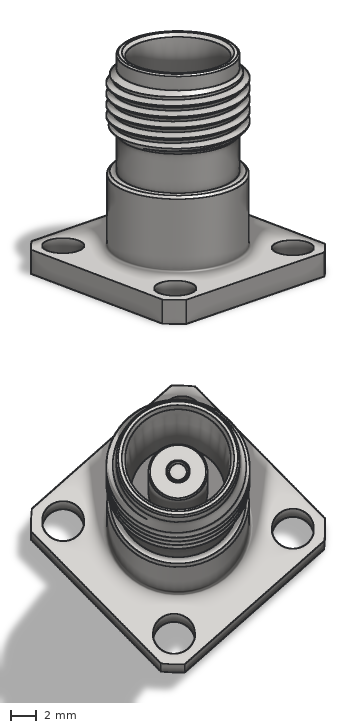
import cadquery as cq
import math

flange_side = 17.53
flange_thickness = 2.03
flange_corner_diameter = 23.0
mounting_hole_diameter = 3.3
mounting_hole_spacing = 12.7

total_height = 18.3
body_diameter = 11.1
body_top = 8.38
body_chamfer = 0.22
body_base_fillet = 0.3
neck_diameter = 9.65
rim_chamfer = 0.15

thread_bottom = 11.65
thread_top = 16.98
thread_root_diameter = 10.21
thread_crest_diameter = 11.24
five_turn_rise = 4.54
thread_pitch = five_turn_rise / 5
thread_half_angle = 30.0
thread_crest_width = 0.07
thread_crest_height = 12.46
end_clearance = 0.18
thread_embed = 0.1

mouth_diameter = 8.78
bore_mouth_diameter = 8.27
bore_floor_diameter = 7.4
mouth_depth = 0.3
bore_depth = 8.3

insulator_diameter = 4.63
insulator_top = 15.05
insulator_chamfer = 0.13

contact_diameter = 1.85
contact_rise = 0.07
recess_mouth_diameter = 1.65
recess_floor_diameter = 1.35
recess_depth = 0.15


def cylinder(diameter, bottom, top):
    return cq.Workplane("XY").workplane(offset=bottom).circle(diameter / 2).extrude(top - bottom)


def revolved(points):
    """Revolve a closed (radius, height) outline about the Z axis."""
    return cq.Workplane("XZ").polyline(points).close().revolve(360, (0, 0), (0, 1))


def make_flange():
    plate = cq.Workplane("XY").rect(flange_side, flange_side).extrude(flange_thickness)
    plate = plate.intersect(cylinder(flange_corner_diameter, 0, flange_thickness))
    return (
        plate.faces(">Z").workplane(origin=(0, 0, flange_thickness))
        .rect(mounting_hole_spacing, mounting_hole_spacing, forConstruction=True)
        .vertices().hole(mounting_hole_diameter)
    )


def make_base_fillet():
    """Concave ring blending the body into the flange."""
    body_radius = body_diameter / 2
    outer_radius = body_radius + body_base_fillet
    fillet_top = flange_thickness + body_base_fillet
    arc_offset = body_base_fillet * (1 - math.sqrt(0.5))
    return (
        cq.Workplane("XZ")
        .moveTo(0, flange_thickness)
        .lineTo(outer_radius, flange_thickness)
        .threePointArc((body_radius + arc_offset, flange_thickness + arc_offset), (body_radius, fillet_top))
        .lineTo(0, fillet_top)
        .close()
        .revolve(360, (0, 0), (0, 1))
    )


def make_barrel():
    body = cylinder(body_diameter, 0, body_top).faces(">Z").chamfer(body_chamfer)
    neck = cylinder(neck_diameter, 0, total_height).faces(">Z").chamfer(rim_chamfer)
    return body.union(neck).union(make_base_fillet())


def make_thread():
    """Helical ridge on a root cylinder, with both ends trimmed at 45 degrees."""
    neck_radius = neck_diameter / 2
    crest_radius = thread_crest_diameter / 2
    base_radius = thread_root_diameter / 2 - thread_embed
    half_crest = thread_crest_width / 2
    half_base = half_crest + (crest_radius - base_radius) * math.tan(math.radians(thread_half_angle))

    turns_below = math.ceil((thread_crest_height - thread_bottom) / thread_pitch) + 1
    start_height = thread_crest_height - turns_below * thread_pitch
    turns = math.ceil((thread_top - start_height) / thread_pitch) + 1
    helix = cq.Wire.makeHelix(thread_pitch, turns * thread_pitch, base_radius).moved(
        cq.Location(cq.Vector(0, 0, start_height))
    )
    ridge = (
        cq.Workplane("XZ")
        .polyline([
            (base_radius, start_height - half_base),
            (crest_radius, start_height - half_crest),
            (crest_radius, start_height + half_crest),
            (base_radius, start_height + half_base),
        ])
        .close()
        .sweep(cq.Workplane(obj=helix), isFrenet=True)
    )

    end_slope = crest_radius - neck_radius + end_clearance
    envelope = revolved([
        (0, thread_bottom),
        (neck_radius, thread_bottom),
        (neck_radius + end_slope, thread_bottom + end_slope),
        (neck_radius + end_slope, thread_top - end_slope),
        (neck_radius, thread_top),
        (0, thread_top),
    ])
    ridge_top = start_height + turns * thread_pitch
    root = cylinder(thread_root_diameter, start_height - thread_pitch, ridge_top + thread_pitch)
    return root.union(ridge).intersect(envelope)


def make_socket():
    floor = total_height - bore_depth
    return revolved([
        (0, total_height),
        (mouth_diameter / 2, total_height),
        (bore_mouth_diameter / 2, total_height - mouth_depth),
        (bore_floor_diameter / 2, floor),
        (0, floor),
    ])


def make_insulator():
    """Insulator and centre contact as one turned shape."""
    radius = insulator_diameter / 2
    floor = total_height - bore_depth
    contact_top = insulator_top + contact_rise
    return revolved([
        (0, floor),
        (radius, floor),
        (radius, insulator_top - insulator_chamfer),
        (radius - insulator_chamfer, insulator_top),
        (contact_diameter / 2, insulator_top),
        (contact_diameter / 2, contact_top),
        (recess_mouth_diameter / 2, contact_top),
        (recess_floor_diameter / 2, contact_top - recess_depth),
        (0, contact_top - recess_depth),
    ])


shell = make_flange().union(make_barrel()).union(make_thread()).cut(make_socket())
result = shell.union(make_insulator())